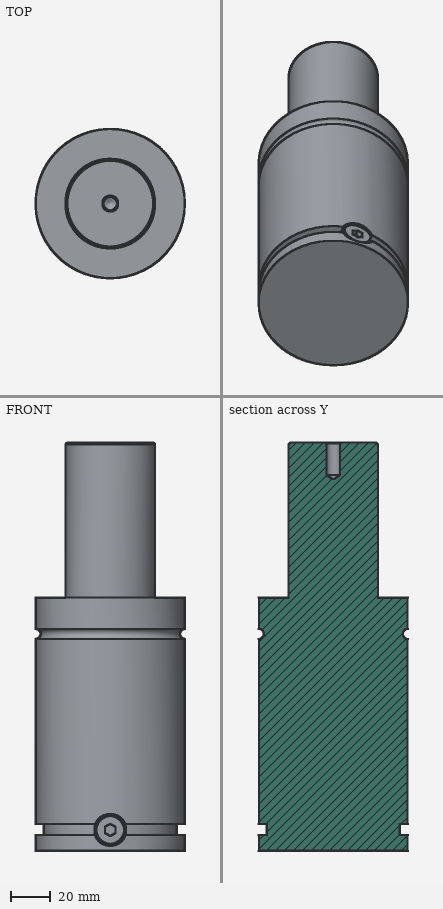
import cadquery as cq
import math

total_height = 205.0
body_diameter = 75.0
body_height = 127.0
rod_diameter = 45.0
rod_chamfer = 1.0

upper_groove_z = 108.9
upper_groove_radius = 2.5

lower_groove_bottom = 8.0
lower_groove_width = 5.3
lower_groove_depth = 4.0

plug_z = 10.5
bore_diameter = 16.0
bore_depth = 8.2
plug_diameter = 14.0
plug_face_recess = 0.6
socket_corner_diameter = 6.2
socket_depth = 3.0

rod_hole_diameter = 6.8
rod_hole_depth = 16.5
countersink_diameter = 8.0
drill_point_angle = 118

body_radius = body_diameter / 2
plug_face_y = -body_radius + plug_face_recess


def make_cylinder_and_rod():
    body = cq.Workplane("XY").circle(body_radius).extrude(body_height)
    rod = (
        cq.Workplane("XY")
        .circle(rod_diameter / 2)
        .extrude(total_height)
        .faces(">Z")
        .chamfer(rod_chamfer)
    )
    return body.union(rod)


def make_upper_groove():
    """Ring of round section centred on the body surface."""
    return (
        cq.Workplane("XZ")
        .center(body_radius, upper_groove_z)
        .circle(upper_groove_radius)
        .revolve(360, (-body_radius, 0), (-body_radius, 1))
    )


def make_lower_groove():
    return (
        cq.Workplane("XY", origin=(0, 0, lower_groove_bottom))
        .circle(body_radius)
        .circle(body_radius - lower_groove_depth)
        .extrude(lower_groove_width)
    )


def make_plug_bore():
    """Round seat that leaves a narrow ring-shaped gap around the plug."""
    return (
        cq.Workplane("XZ", origin=(0, -body_radius + bore_depth, plug_z))
        .circle(bore_diameter / 2)
        .extrude(bore_depth)
    )


def make_plug():
    plug = (
        cq.Workplane("XZ", origin=(0, -body_radius + bore_depth, plug_z))
        .circle(plug_diameter / 2)
        .extrude(bore_depth - plug_face_recess)
    )
    socket = (
        cq.Workplane("XZ", origin=(0, plug_face_y + socket_depth, plug_z))
        .transformed(rotate=(0, 0, 30))
        .polygon(6, socket_corner_diameter)
        .extrude(socket_depth)
    )
    return plug.cut(socket)


def make_rod_hole():
    hole_radius = rod_hole_diameter / 2
    countersink_radius = countersink_diameter / 2
    countersink_depth = countersink_radius - hole_radius
    point_length = hole_radius / math.tan(math.radians(drill_point_angle / 2))
    hole_bottom = total_height - rod_hole_depth
    return (
        cq.Workplane("XZ")
        .moveTo(0, total_height)
        .lineTo(countersink_radius, total_height)
        .lineTo(hole_radius, total_height - countersink_depth)
        .lineTo(hole_radius, hole_bottom)
        .lineTo(0, hole_bottom - point_length)
        .close()
        .revolve(360, (0, 0), (0, 1))
    )


result = make_cylinder_and_rod().cut(make_upper_groove()).cut(make_lower_groove())
result = result.cut(make_plug_bore()).union(make_plug())
result = result.cut(make_rod_hole())